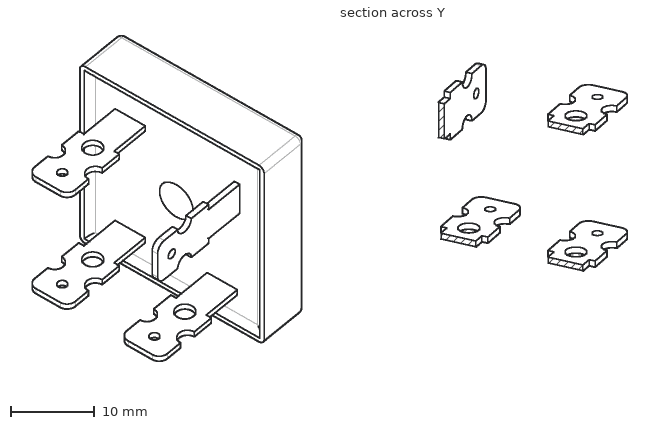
import cadquery as cq
import math

case_side = 28.6
case_depth = 7.55
case_edge_radius = 0.83
mounting_hole_diameter = 5.2

rim_width = 0.7
recess_depth = 0.8
floor_inset = 1.72

overall_depth = 22.0
blade_reach = overall_depth - case_depth
blade_thickness = 0.83
blade_width = 6.3
neck_width = 4.7
neck_reach = 4.98
tip_radius = 1.25
notch_radius = 1.25
notch_reach = 9.45
large_hole_diameter = 2.6
large_hole_reach = 6.15
small_hole_diameter = 1.3
small_hole_reach = 11.8

blade_x = 7.15
upper_blade_z = 8.87
lower_blade_z = -9.2
upright_blade_x = 9.45
upright_blade_z = upper_blade_z + (blade_thickness - blade_width) / 2


def make_case():
    """Square block with rounded side edges and a rounded back edge."""
    block = cq.Workplane("XY").box(case_side, case_depth, case_side, centered=(True, False, True))
    return block.edges("|Y").fillet(case_edge_radius).faces(">Y").edges().fillet(case_edge_radius)


def recess_prism(plane):
    """Recess section drawn on a plane whose second axis is +Y, extruded across the case."""
    rim_half = case_side / 2 - rim_width
    floor_half = case_side / 2 - floor_inset
    curve_width = rim_half - floor_half
    curve_radius = (curve_width**2 + recess_depth**2) / (2 * recess_depth)
    half_angle = math.asin(curve_width / curve_radius) / 2
    middle_offset = curve_radius * math.sin(half_angle)
    middle_rise = curve_radius * (1 - math.cos(half_angle))
    middle_half = floor_half + middle_offset
    middle_y = recess_depth - middle_rise
    return (
        cq.Workplane(plane)
        .moveTo(-rim_half, 0)
        .lineTo(rim_half, 0)
        .threePointArc((middle_half, middle_y), (floor_half, recess_depth))
        .lineTo(-floor_half, recess_depth)
        .threePointArc((-middle_half, middle_y), (-rim_half, 0))
        .close()
        .extrude(case_side / 2, both=True)
    )


def make_recess():
    """Two crossed prisms share the square recess with mitered corners."""
    across_z = recess_prism("XY")
    across_x = recess_prism("ZY")
    return across_z.intersect(across_x)


def make_blade(has_large_hole):
    """Blade lying flat in the XY plane, centered on X and Z, with its root on the recess floor."""
    neck = (
        cq.Workplane("XY")
        .box(neck_width, recess_depth + neck_reach, blade_thickness, centered=(True, False, True))
        .translate((0, -neck_reach, 0))
    )
    head = (
        cq.Workplane("XY")
        .box(blade_width, blade_reach - neck_reach, blade_thickness, centered=(True, False, True))
        .translate((0, -blade_reach, 0))
        .edges("|Z and <Y")
        .fillet(tip_radius)
    )
    cuts = [
        (-blade_width / 2, notch_reach, notch_radius),
        (blade_width / 2, notch_reach, notch_radius),
        (0, small_hole_reach, small_hole_diameter / 2),
    ]
    if has_large_hole:
        cuts.append((0, large_hole_reach, large_hole_diameter / 2))
    blade = neck.union(head)
    for x, reach, radius in cuts:
        cutter = cq.Workplane("XY").cylinder(2 * blade_thickness, radius).translate((x, -reach, 0))
        blade = blade.cut(cutter)
    return blade


mounting_hole = cq.Workplane("XZ").circle(mounting_hole_diameter / 2).extrude(-case_depth)
result = make_case().cut(make_recess()).cut(mounting_hole)

flat_blade = make_blade(has_large_hole=True)
for x, z in [(-blade_x, upper_blade_z), (-blade_x, lower_blade_z), (blade_x, lower_blade_z)]:
    result = result.union(flat_blade.translate((x, 0, z)))

upright_blade = make_blade(has_large_hole=False).rotate((0, 0, 0), (0, 1, 0), 90)
result = result.union(upright_blade.translate((upright_blade_x, 0, upright_blade_z)))